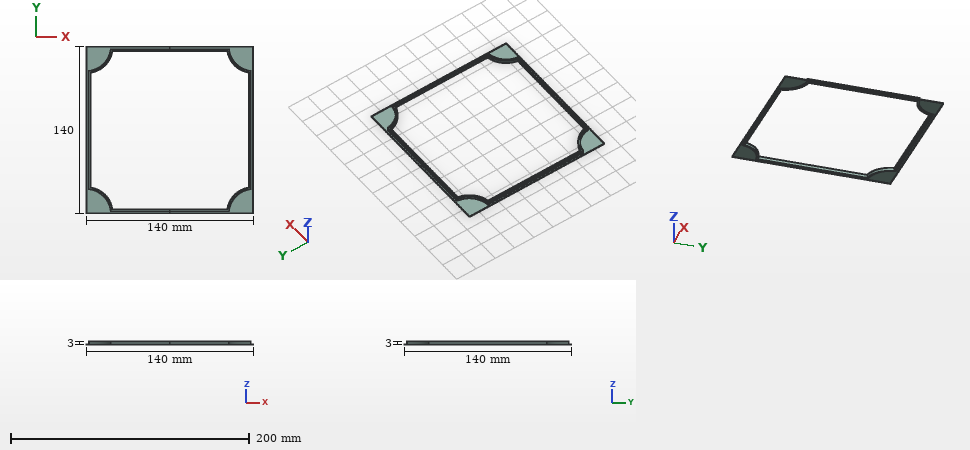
import cadquery as cq

FRAME_SIDE = 140.0
TOTAL_HEIGHT = 3.0
FLANGE_THICKNESS = 0.5
LEDGE_WIDTH = 2.0
RIM_WIDTH = 1.7
CORNER_RADIUS = 20.5

HALF_SIDE = FRAME_SIDE / 2
RIM_SIDE = FRAME_SIDE - 2 * LEDGE_WIDTH
OPENING_SIDE = RIM_SIDE - 2 * RIM_WIDTH
OPENING_CORNER_RADIUS = CORNER_RADIUS + RIM_WIDTH


def scalloped_square(side, corner_radius, height):
    """Square plate with a round bite about each corner of the frame."""
    corner_cuts = (
        cq.Workplane("XY")
        .rect(FRAME_SIDE, FRAME_SIDE, forConstruction=True)
        .vertices()
        .circle(corner_radius)
        .extrude(height)
    )
    return cq.Workplane("XY").rect(side, side).extrude(height).cut(corner_cuts)


def full_frame():
    """Thin square flange with a raised rim around the scalloped opening."""
    flange = cq.Workplane("XY").rect(FRAME_SIDE, FRAME_SIDE).extrude(FLANGE_THICKNESS)
    rim = scalloped_square(RIM_SIDE, CORNER_RADIUS, TOTAL_HEIGHT)
    opening = scalloped_square(OPENING_SIDE, OPENING_CORNER_RADIUS, TOTAL_HEIGHT)
    return flange.union(rim).cut(opening)


def frame_half(side_sign):
    """Half of the frame on the -X (-1) or +X (+1) side of the joint at X = 0."""
    half_space = (
        cq.Workplane("XY")
        .center(side_sign * HALF_SIDE / 2, 0)
        .rect(HALF_SIDE, FRAME_SIDE)
        .extrude(TOTAL_HEIGHT)
    )
    return full_frame().intersect(half_space)


frame_halves = [frame_half(side_sign).val() for side_sign in (-1, 1)]

result = cq.Compound.makeCompound(frame_halves)